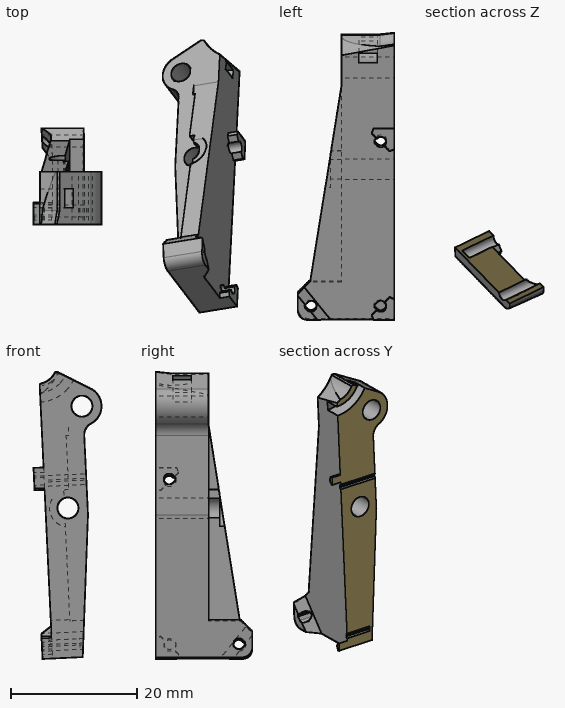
import cadquery as cq
import math

LEAN = 2.70
FOOT_CORNER_X = 3.03
FOOT_CORNER_Z = 0.077
FAR = 30.0

COLUMN_DEPTH = 8.41
COLUMN_THICKNESS = 6.73
BOTTOM_THICKNESS = 4.83
WIDEST_Z = 22.56
HEAD_HOLE_X = 6.56
HEAD_HOLE_Z = 39.81
HEAD_RADIUS = 3.13
NECK_RADIUS = 2.0
TOP_ANGLE = 29.2
SCREW_HOLE_DIAMETER = 3.3

BASE_DEPTH = 15.35
BASE_HEIGHT = 5.9
BASE_CORNER_RADIUS = 1.6
BEVEL_TOP_Y = 13.35
BEVEL_TOP_Z = 6.1
WEB_TOP_Z = 37.0
WEB_THICKNESS = 3.0
THICK_WEB_THICKNESS = 3.8
NECK_WEB_THICKNESS = 4.2
NECK_WEB_Z = 35.3

MIDDLE_HOLE_X = 3.58
MIDDLE_HOLE_Z = 23.77
COUNTERBORE_DIAMETER = 5.9
COUNTERBORE_FLOOR_Y = 10.2

GROOVE_RADIUS = 3.0
GROOVE_X = 0.17
GROOVE_Z = 46.41
GROOVE_END_ANGLE = -26.0
GROOVE_BEND_Y = 2.3
GROOVE_SHIFT_X = -0.35
GROOVE_SHIFT_Z = 0.3
TIP_ANGLE = 15.0
CORNER_Z = 43.55
CORNER_DROP = 1.55
CORNER_CHORD_ANGLE = 48.0
CORNER_CHORD = 4.45
CORNER_SAG = 0.3
CORNER_HALF_SWEEP = 60.0

SLOT_X = -0.1
SLOT_Z = 47.05
SLOT_RADIUS = 4.75
SLOT_HEIGHT = 1.5
SLOT_Y = 2.68
SLOT_WIDTH = 3.0

PAD_HEIGHT = 1.6
PAD_SIDE = 3.3
PAD_TIP_LONG = 3.6
PAD_TIP_SHORT = 0.75
PIN_RADIUS = 0.85
PIN_POINT = 1.05
PIN_INSET = 2.15
UPPER_PAD_Z = 30.4
REAR_PIN_Y = 13.2
BLIND_PIN_DEPTH = 6.0
RAMP_FOOT_Y = 10.13
RAMP_ANGLE = 51.0


def along_y(outline, depth):
    """Prism from a closed X-Z outline toward +Y."""
    return outline.extrude(-depth)


def xz_plane(y=0.0):
    """Workplane across the arm at a given Y."""
    return cq.Workplane("XZ", origin=(0, y, 0))


def polar(center, radius, degrees):
    """Point at a radius and angle from a center."""
    angle = math.radians(degrees)
    return (center[0] + radius * math.cos(angle), center[1] + radius * math.sin(angle))


def cylinder_y(x, z, diameter, y_start, length):
    """Cylinder along +Y from y_start."""
    return along_y(xz_plane(y_start).center(x, z).circle(diameter / 2), length)


def pin_hole(y, z, length):
    """Hole from the pad face: a circle drawn out to a blunt 45 degree point toward +Y."""
    tangent = PIN_RADIUS * math.sqrt(0.5)
    blunt = PIN_RADIUS * math.sqrt(2) - PIN_POINT
    plane = cq.Workplane("YZ", origin=(-PAD_HEIGHT, y, z))
    outline = (
        plane.moveTo(tangent, tangent)
        .threePointArc((-PIN_RADIUS, 0), (tangent, -tangent))
        .lineTo(PIN_POINT, -blunt)
        .lineTo(PIN_POINT, blunt)
        .close()
    )
    return outline.extrude(length)


def column():
    """Column with the round head and its concave neck."""
    head = (HEAD_HOLE_X, HEAD_HOLE_Z)
    reach = HEAD_RADIUS + NECK_RADIUS
    neck_x = COLUMN_THICKNESS + NECK_RADIUS
    neck_angle = math.degrees(math.acos((neck_x - head[0]) / reach))
    neck = polar(head, reach, -neck_angle)
    top_angle = 90 - TOP_ANGLE
    top_tangent = polar(head, HEAD_RADIUS, top_angle)
    top_left = top_tangent[1] + top_tangent[0] * math.tan(math.radians(TOP_ANGLE))
    outline = (
        xz_plane()
        .moveTo(0, 0)
        .lineTo(BOTTOM_THICKNESS, 0)
        .lineTo(COLUMN_THICKNESS, WIDEST_Z)
        .lineTo(COLUMN_THICKNESS, neck[1])
        .threePointArc(polar(neck, NECK_RADIUS, 180 - neck_angle / 2), polar(head, HEAD_RADIUS, -neck_angle))
        .threePointArc(polar(head, HEAD_RADIUS, (top_angle - neck_angle) / 2), top_tangent)
        .lineTo(0, top_left)
        .close()
    )
    return along_y(outline, COLUMN_DEPTH)


def side_slab(x_start, x_end):
    """Slab with the outline of the web and base, between two X planes."""
    bevel_bottom_z = BEVEL_TOP_Z - (BASE_DEPTH - BEVEL_TOP_Y)
    slab = (
        cq.Workplane("YZ", origin=(x_start, 0, 0))
        .polyline([
            (0, 0),
            (BASE_DEPTH, 0),
            (BASE_DEPTH, bevel_bottom_z),
            (BEVEL_TOP_Y, BEVEL_TOP_Z),
            (COLUMN_DEPTH, WEB_TOP_Z),
            (0, WEB_TOP_Z),
        ])
        .close()
        .extrude(x_end - x_start)
    )
    return slab.edges("|X and >Y and <Z").fillet(BASE_CORNER_RADIUS)


def layer(thickness, z_bottom, z_top):
    """Wide plate on the seating face, between two heights."""
    plate = cq.Workplane("XY", origin=(0, 0, z_bottom))
    return plate.box(thickness, FAR, z_top - z_bottom, centered=False)


def web_and_base():
    """Stepped web behind the column, standing on the full-thickness base."""
    ledge_z = MIDDLE_HOLE_Z + COUNTERBORE_DIAMETER / 2
    taper = (COLUMN_THICKNESS - BOTTOM_THICKNESS) / WIDEST_Z
    base_end = BOTTOM_THICKNESS + taper * BASE_HEIGHT
    corners = [(0, 0), (BOTTOM_THICKNESS, 0), (base_end, BASE_HEIGHT), (0, BASE_HEIGHT)]
    base = along_y(xz_plane().polyline(corners).close(), FAR)
    steps = (
        base.union(layer(WEB_THICKNESS, 0, ledge_z))
        .union(layer(THICK_WEB_THICKNESS, ledge_z, NECK_WEB_Z))
        .union(layer(NECK_WEB_THICKNESS, NECK_WEB_Z, WEB_TOP_Z))
    )
    return side_slab(0, COLUMN_THICKNESS).intersect(steps)


def corner_pad(z_edge, direction):
    """Pad at the flat side with a diagonal inner side; direction is +1 up or -1 down."""
    corners = [
        (0, 0),
        (PAD_SIDE, 0),
        (PAD_TIP_LONG, PAD_TIP_SHORT),
        (PAD_TIP_SHORT, PAD_TIP_LONG),
        (0, PAD_SIDE),
    ]
    points = [(y, z_edge + direction * z) for y, z in corners]
    return cq.Workplane("YZ").polyline(points).close().extrude(-PAD_HEIGHT)


def rear_pad():
    """Pad at the rear bottom corner, rising from the seating face as a 45 degree ramp."""
    angle = math.radians(RAMP_ANGLE)
    ramp_plane = cq.Plane(
        origin=(0, RAMP_FOOT_Y, 0),
        xDir=(0, math.sin(angle), -math.cos(angle)),
        normal=(0, math.cos(angle), math.sin(angle)),
    )
    ramp = (
        cq.Workplane(ramp_plane)
        .polyline([(0, 0), (PAD_HEIGHT, PAD_HEIGHT), (FAR, PAD_HEIGHT), (FAR, 0)])
        .close()
        .extrude(FAR, both=True)
    )
    return side_slab(-PAD_HEIGHT, 0).intersect(ramp)


def oblique_prism(wire, vector):
    """Prism from a closed wire along a slanting vector."""
    return cq.Workplane(cq.Solid.extrudeLinear(wire, [], cq.Vector(*vector)))


def groove_cutter():
    """Groove beside the flattened tip, straight along Y and bent near the flat side."""
    groove = (GROOVE_X, GROOVE_Z)
    tip_start = polar(groove, GROOVE_RADIUS, GROOVE_END_ANGLE)
    wire = (
        xz_plane(GROOVE_BEND_Y)
        .moveTo(GROOVE_X - GROOVE_RADIUS, GROOVE_Z)
        .threePointArc(polar(groove, GROOVE_RADIUS, (GROOVE_END_ANGLE - 180) / 2), tip_start)
        .lineTo(*polar(tip_start, FAR, TIP_ANGLE))
        .lineTo(GROOVE_X - GROOVE_RADIUS, GROOVE_Z + FAR)
        .close()
        .val()
    )
    bend = (GROOVE_SHIFT_X, -GROOVE_BEND_Y, GROOVE_SHIFT_Z)
    return oblique_prism(wire, (0, FAR, 0)).union(oblique_prism(wire, bend))


def corner_cutter():
    """Hollow slant across the upper corner of the seating face, falling toward +Y."""
    radius = CORNER_CHORD ** 2 / (8 * CORNER_SAG) + CORNER_SAG / 2
    chord_middle = polar((0, CORNER_Z), CORNER_CHORD / 2, CORNER_CHORD_ANGLE)
    center = polar(chord_middle, radius - CORNER_SAG, CORNER_CHORD_ANGLE + 90)
    deepest = CORNER_CHORD_ANGLE - 90
    wire = (
        xz_plane()
        .moveTo(*polar(center, radius, deepest - CORNER_HALF_SWEEP))
        .threePointArc(
            polar(center, radius, deepest),
            polar(center, radius, deepest + CORNER_HALF_SWEEP),
        )
        .close()
        .val()
    )
    return oblique_prism(wire, (0, COLUMN_DEPTH, -CORNER_DROP))


def tie_slot():
    """Ring whose arc runs from the seating face to the sloped top."""
    ring = xz_plane(SLOT_Y).center(SLOT_X, SLOT_Z).circle(SLOT_RADIUS + SLOT_HEIGHT).circle(SLOT_RADIUS)
    return along_y(ring, SLOT_WIDTH)


def screw_holes():
    """Through holes in the head and the middle, the latter counterbored from the rear."""
    head = cylinder_y(HEAD_HOLE_X, HEAD_HOLE_Z, SCREW_HOLE_DIAMETER, 0, FAR)
    middle = cylinder_y(MIDDLE_HOLE_X, MIDDLE_HOLE_Z, SCREW_HOLE_DIAMETER, 0, FAR)
    counterbore = cylinder_y(MIDDLE_HOLE_X, MIDDLE_HOLE_Z, COUNTERBORE_DIAMETER, COUNTERBORE_FLOOR_Y, FAR)
    return head.union(middle).union(counterbore)


def pin_holes():
    """Through holes at the upper and rear pads and a blind one at the lower pad."""
    upper = pin_hole(PIN_INSET, UPPER_PAD_Z - PIN_INSET, FAR)
    rear = pin_hole(REAR_PIN_Y, PIN_INSET, FAR)
    lower = pin_hole(PIN_INSET, PIN_INSET, BLIND_PIN_DEPTH)
    return upper.union(rear).union(lower)


arm = column().cut(groove_cutter()).cut(corner_cutter()).cut(tie_slot())
arm = arm.union(web_and_base())
arm = arm.union(corner_pad(0, 1)).union(corner_pad(UPPER_PAD_Z, -1)).union(rear_pad())
arm = arm.cut(screw_holes()).cut(pin_holes())

result = arm.rotate((0, 0, 0), (0, 1, 0), -LEAN).translate((FOOT_CORNER_X, 0, FOOT_CORNER_Z))